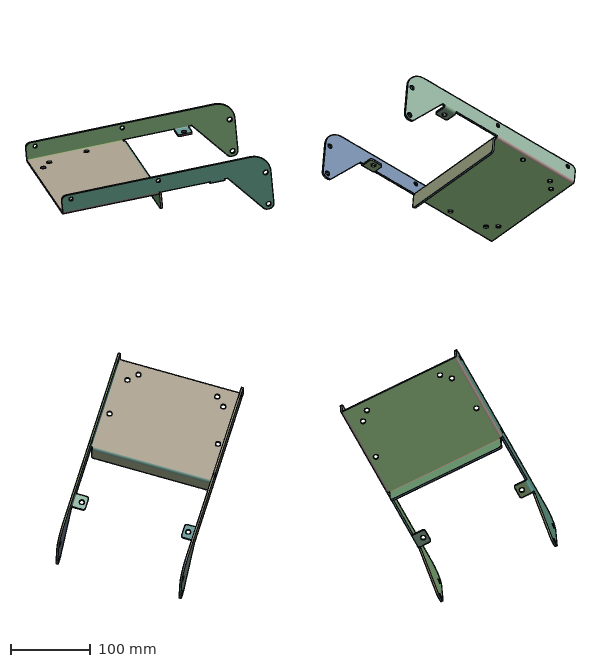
import cadquery as cq

TILT_ANGLE = 5.0

WIDTH = 163.3
SHEET = 2.5
BEND_INNER_RADIUS = 0.8
BEND_OUTER_RADIUS = BEND_INNER_RADIUS + SHEET
HALF_WIDTH = WIDTH / 2

ARM_LENGTH = 272.5
ARM_TOP = 25.7
ARM_UNDERSIDE = BEND_OUTER_RADIUS
FRONT_CORNER_RADIUS = 6.6
REAR_CORNER_RADIUS = 25.0
FOOT_BOTTOM = -50.7
FOOT_TOE_Y = 260.2
FOOT_START_Y = 215.5
FOOT_HEEL_RADIUS = 7.0
FOOT_TOE_RADIUS = 7.0
ARM_HOLE_DIAMETER = 5.3
ARM_HOLES = [(12.2, 19.7), (126.5, 20.0)]
FOOT_HOLE_DIAMETER = 6.5
FOOT_HOLE_Y = ARM_LENGTH - FOOT_HEEL_RADIUS
FOOT_HOLES = [(FOOT_HOLE_Y, 0.5), (FOOT_HOLE_Y, FOOT_BOTTOM + FOOT_HEEL_RADIUS)]

FLOOR_LENGTH = 129.5
FLANGE_BOTTOM = -22.5
FLANGE_INSET = 3.5
FLANGE_CORNER_RADIUS = 4.0
FLOOR_HOLE_DIAMETER = 6.5
FLOOR_HOLES = [(10.8, 75.3), (19.0, 24.0), (30.2, 13.0)]

TAB_REACH = 18.8
TAB_LENGTH = 18.8
TAB_CENTER_Y = 202.5
TAB_CORNER_RADIUS = 2.8
TAB_HOLE_DIAMETER = 6.5
TAB_HOLE_INSET = 12.2


def drill_across(body, places, diameter):
    """Drill holes at (y, z) through both arms."""
    drill = (
        cq.Workplane("YZ")
        .pushPoints(places)
        .circle(diameter / 2)
        .extrude(HALF_WIDTH, both=True)
    )
    return body.cut(drill)


def make_arm():
    """Flat arm on the -X side, above the bend that joins it to the floor."""
    arm = (
        cq.Workplane("YZ", origin=(-HALF_WIDTH, 0, 0))
        .moveTo(0, ARM_UNDERSIDE)
        .lineTo(0, ARM_TOP - FRONT_CORNER_RADIUS)
        .radiusArc((FRONT_CORNER_RADIUS, ARM_TOP), FRONT_CORNER_RADIUS)
        .lineTo(ARM_LENGTH - REAR_CORNER_RADIUS, ARM_TOP)
        .radiusArc((ARM_LENGTH, ARM_TOP - REAR_CORNER_RADIUS), REAR_CORNER_RADIUS)
        .lineTo(ARM_LENGTH, FOOT_BOTTOM + FOOT_HEEL_RADIUS)
        .radiusArc((ARM_LENGTH - FOOT_HEEL_RADIUS, FOOT_BOTTOM), FOOT_HEEL_RADIUS)
        .lineTo(FOOT_TOE_Y, FOOT_BOTTOM)
        .lineTo(FOOT_START_Y, ARM_UNDERSIDE)
        .close()
        .extrude(SHEET)
    )
    toe = cq.selectors.NearestToPointSelector((-HALF_WIDTH + SHEET / 2, FOOT_TOE_Y, FOOT_BOTTOM))
    return arm.edges(toe).fillet(FOOT_TOE_RADIUS)


def make_side_bend(reach, start_y, length):
    """Quarter bend below the -X arm, continued inward as a flat sheet to the given reach."""
    outer_x = -HALF_WIDTH
    bend_x = outer_x + BEND_OUTER_RADIUS
    return (
        cq.Workplane("XZ", origin=(0, start_y, 0))
        .moveTo(outer_x, BEND_OUTER_RADIUS)
        .radiusArc((bend_x, 0), -BEND_OUTER_RADIUS)
        .lineTo(outer_x + reach, 0)
        .lineTo(outer_x + reach, SHEET)
        .lineTo(bend_x, SHEET)
        .radiusArc((outer_x + SHEET, BEND_OUTER_RADIUS), BEND_INNER_RADIUS)
        .close()
        .extrude(-length)
    )


def make_tab():
    """Tab on the -X side with rounded free corners and one hole."""
    tab = make_side_bend(TAB_REACH, TAB_CENTER_Y - TAB_LENGTH / 2, TAB_LENGTH)
    tab = tab.faces(">X").edges("|Z").fillet(TAB_CORNER_RADIUS)
    hole = (
        cq.Workplane("XY")
        .center(-HALF_WIDTH + TAB_HOLE_INSET, TAB_CENTER_Y)
        .circle(TAB_HOLE_DIAMETER / 2)
        .extrude(SHEET)
    )
    return tab.cut(hole)


def make_rear_flange():
    """Bend at the back of the floor and the flange hanging from it."""
    bend_y = FLOOR_LENGTH - BEND_OUTER_RADIUS
    bend_z = SHEET - BEND_OUTER_RADIUS
    half_flange = HALF_WIDTH - FLANGE_INSET
    flange = (
        cq.Workplane("YZ")
        .moveTo(bend_y, SHEET)
        .radiusArc((FLOOR_LENGTH, bend_z), BEND_OUTER_RADIUS)
        .lineTo(FLOOR_LENGTH, FLANGE_BOTTOM)
        .lineTo(FLOOR_LENGTH - SHEET, FLANGE_BOTTOM)
        .lineTo(FLOOR_LENGTH - SHEET, bend_z)
        .radiusArc((bend_y, 0), -BEND_INNER_RADIUS)
        .close()
        .extrude(half_flange, both=True)
    )
    return flange.faces("<Z").edges("|Y").fillet(FLANGE_CORNER_RADIUS)


def make_floor_drill():
    """Hole cylinders for the -X half of the floor."""
    places = [(-HALF_WIDTH + inset, y) for inset, y in FLOOR_HOLES]
    return cq.Workplane("XY").pushPoints(places).circle(FLOOR_HOLE_DIAMETER / 2).extrude(SHEET)


floor = make_side_bend(HALF_WIDTH, 0, FLOOR_LENGTH - BEND_OUTER_RADIUS).cut(make_floor_drill())
half = make_arm().union(floor).union(make_tab())

bracket = half.union(half.mirror("YZ")).union(make_rear_flange())
bracket = drill_across(bracket, ARM_HOLES, ARM_HOLE_DIAMETER)
bracket = drill_across(bracket, FOOT_HOLES, FOOT_HOLE_DIAMETER)

result = bracket.rotate((0, 0, 0), (1, 0, 0), TILT_ANGLE)